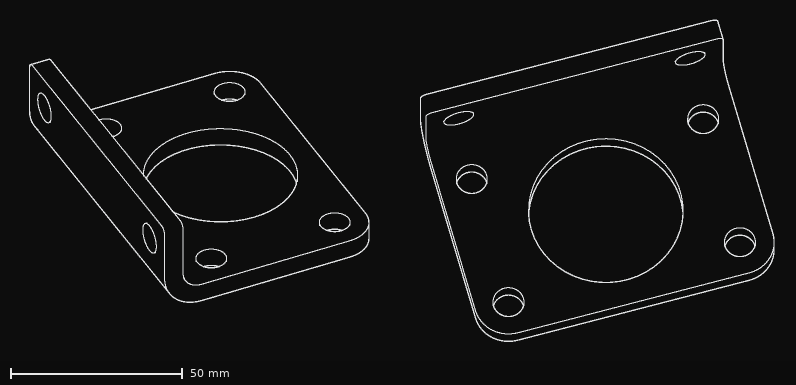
import cadquery as cq

width = 90.0
depth = 70.0
height = 30.0
thickness = 6.0
bend_inner_radius = 6.0
bend_outer_radius = bend_inner_radius + thickness

base_corner_radius = 10.0
flange_corner_radius = 2.0

hole_diameter = 9.0
hole_edge_margin = 10.0
hole_spacing_x = width - 2 * hole_edge_margin
base_hole_spacing_y = 40.0
bore_diameter = 45.0

bore_center_y = depth - hole_edge_margin - base_hole_spacing_y / 2
flange_hole_z = height - hole_edge_margin


def make_bent_plate():
    """L-shaped profile in the YZ plane, extruded across the width."""
    profile = (
        cq.Workplane("YZ")
        .moveTo(depth, 0)
        .lineTo(depth, thickness)
        .lineTo(bend_outer_radius, thickness)
        .radiusArc((thickness, bend_outer_radius), bend_inner_radius)
        .lineTo(thickness, height)
        .lineTo(0, height)
        .lineTo(0, bend_outer_radius)
        .radiusArc((bend_outer_radius, 0), -bend_outer_radius)
        .close()
    )
    return profile.extrude(width / 2, both=True)


def round_corners(plate):
    """Round the two rear base corners and the two upper flange corners."""
    plate = plate.faces(">Y").edges("|Z").fillet(base_corner_radius)
    return plate.faces(">Z").edges("|Y").fillet(flange_corner_radius)


def make_base_cutter():
    """Four mounting holes and the central bore, through the base."""
    base_plane = cq.Workplane("XY", origin=(0, bore_center_y, 0))
    holes = (
        base_plane
        .rarray(hole_spacing_x, base_hole_spacing_y, 2, 2)
        .circle(hole_diameter / 2)
        .extrude(thickness)
    )
    bore = base_plane.circle(bore_diameter / 2).extrude(thickness)
    return holes.union(bore)


def make_flange_cutter():
    """Two mounting holes through the upright flange."""
    return (
        cq.Workplane("XZ", origin=(0, 0, flange_hole_z))
        .pushPoints([(side * hole_spacing_x / 2, 0) for side in (-1, 1)])
        .circle(hole_diameter / 2)
        .extrude(-thickness)
    )


result = round_corners(make_bent_plate()).cut(make_base_cutter()).cut(make_flange_cutter())